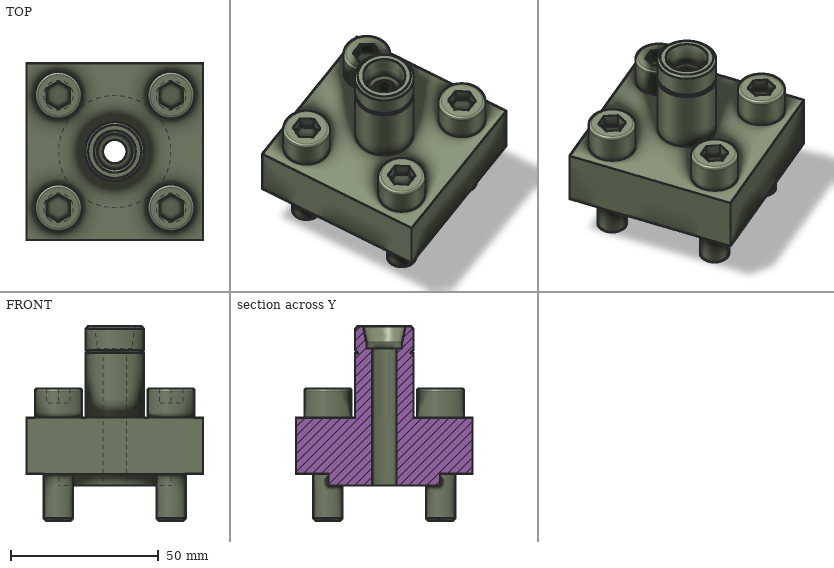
import cadquery as cq
import math

total_height = 66
plate_bottom = 16.0
plate_thickness = 19.0
plate_top = plate_bottom + plate_thickness

plate_side = 60.0
spigot_diameter = 38.0
spigot_height = 4.0

tube_diameter = 20.0
tube_edge_chamfer = 1.0
collar_height = 8.05
groove_height = 1.05
groove_depth = 1.05
bore_diameter = 8.0
socket_diameter = 12.0
socket_depth = 7.5
cone_mouth_diameter = 14.25
cone_depth = 5.3

bolt_circle_diameter = 54.0
screw_spacing = bolt_circle_diameter / math.sqrt(2)
shank_diameter = 10.0
shank_tip_chamfer = 1.0
head_diameter = 16.0
head_height = 9.95
head_edge_round = 1.0
hex_across_flats = 8.0
hex_depth = 5.0


def cylinder(diameter, bottom, top):
    """Vertical cylinder on the Z axis between two heights."""
    return cq.Workplane("XY").workplane(offset=bottom).circle(diameter / 2).extrude(top - bottom)


def make_plate():
    plate = cq.Workplane("XY").workplane(offset=plate_bottom).rect(plate_side, plate_side)
    plate = plate.extrude(plate_thickness)
    return plate.union(cylinder(spigot_diameter, plate_bottom - spigot_height, plate_top))


def make_tube():
    """Tube stub with a groove that tapers inward below the collar."""
    radius = tube_diameter / 2
    collar_bottom = total_height - collar_height
    groove_bottom = collar_bottom - groove_height
    profile = [
        (0, plate_bottom),
        (radius, plate_bottom),
        (radius, groove_bottom),
        (radius - groove_depth, groove_bottom),
        (radius, collar_bottom),
        (radius, total_height - tube_edge_chamfer),
        (radius - tube_edge_chamfer, total_height),
        (0, total_height),
    ]
    return cq.Workplane("XZ").polyline(profile).close().revolve(360, (0, 0), (0, 1))


def make_bore():
    """Through bore, wider socket and conical mouth as one cutting body."""
    socket_bottom = total_height - socket_depth
    profile = [
        (0, 0),
        (bore_diameter / 2, 0),
        (bore_diameter / 2, socket_bottom),
        (socket_diameter / 2, socket_bottom),
        (socket_diameter / 2, total_height - cone_depth),
        (cone_mouth_diameter / 2, total_height),
        (0, total_height),
    ]
    return cq.Workplane("XZ").polyline(profile).close().revolve(360, (0, 0), (0, 1))


def make_screw():
    """Socket head screw standing on its tip, with the hexagon corners along Y."""
    head_top = plate_top + head_height
    shank = cylinder(shank_diameter, 0, plate_top).faces("<Z").chamfer(shank_tip_chamfer)
    head = cylinder(head_diameter, plate_top, head_top).faces(">Z").edges().fillet(head_edge_round)
    hexagon = (
        cq.Workplane("XY")
        .workplane(offset=head_top - hex_depth)
        .polygon(6, hex_across_flats, circumscribed=True)
        .extrude(hex_depth)
    )
    return shank.union(head).cut(hexagon)


result = make_plate().union(make_tube()).cut(make_bore())
screw = make_screw()
for x_side in (-1, 1):
    for y_side in (-1, 1):
        position = (x_side * screw_spacing / 2, y_side * screw_spacing / 2, 0)
        result = result.union(screw.translate(position))